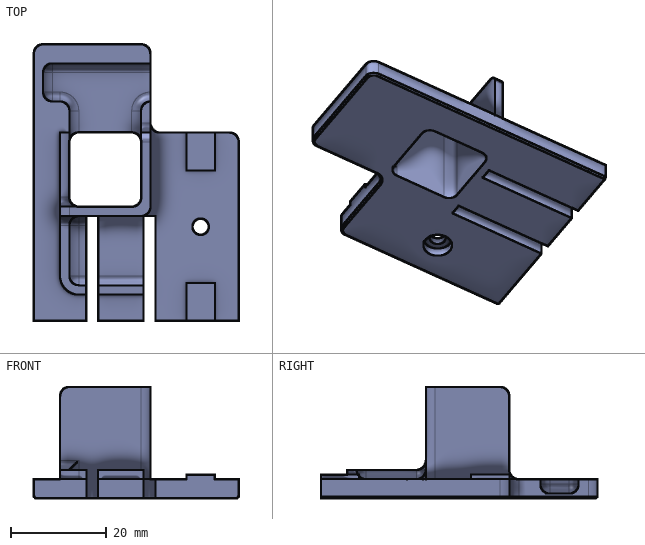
import cadquery as cq
import math

width = 43.0
length = 58.0
height = 23.4

plate = 4.0
wall = 2.0
radius = 2.0
bottom_chamfer = 0.4
arc_half = radius * math.sqrt(0.5)

arm_width = 24.5
shoulder_y = 39.5

window_left = 7.5
window_right = arm_width - wall
wall_front = 22.0
window_front = wall_front + wall
window_back = shoulder_y

rib_left = window_left - wall
rib_front = 5.5
rib_top = plate + radius

slot_width = 2.5
slot_left = 11.0
tongue_width = 9.5
tongue_left = slot_left + slot_width
tongue_right = tongue_left + tongue_width

pocket_floor = 1.0
pocket_left = 2.0
pocket_back = length - 4.0
pocket_front = 46.0

pad_width = 6.0
pad_length = 8.0
pad_height = 1.0
pad_center_x = 35.0
hole_diameter = 3.35
counterbore_diameter = 6.0
counterbore_depth = 2.2


def box(x0, x1, y0, y1, z0, z1):
    return cq.Workplane("XY").box(x1 - x0, y1 - y0, z1 - z0, centered=False).translate((x0, y0, z0))


def foot(x0, x1, y_face, z, side):
    """Concave fillet at the foot of a wall face; side is +1 or -1 along Y."""
    bulge = radius - arc_half
    return (
        cq.Workplane("YZ", origin=(x0, 0, 0))
        .moveTo(y_face, z)
        .lineTo(y_face, z + radius)
        .threePointArc((y_face + side * bulge, z + bulge), (y_face + side * radius, z))
        .close()
        .extrude(x1 - x0)
    )


def base_plate():
    outline = [
        (0, 0),
        (width, 0),
        (width, shoulder_y),
        (arm_width, shoulder_y),
        (arm_width, length),
        (0, length),
    ]
    body = cq.Workplane("XY").polyline(outline).close().extrude(plate)
    body = body.edges("|Z").edges("not(<Y)").fillet(radius)
    return body.faces("<Z").edges("not(<Y)").chamfer(bottom_chamfer)


def front_rib():
    """Solid block with a rounded corner; the recess later hollows it into a rib."""
    block = box(rib_left, tongue_right, rib_front, wall_front, plate, rib_top)
    return block.edges("|Z and <X and <Y").fillet(wall + radius)


def side_rib():
    """Quarter-round rib beside the window, flaring up into the front wall."""
    flare_center_y = window_front + radius
    return (
        cq.Workplane("YZ", origin=(rib_left, 0, plate))
        .moveTo(window_front, 0)
        .lineTo(window_front, 2 * radius)
        .threePointArc((flare_center_y - arc_half, 2 * radius - arc_half), (flare_center_y, radius))
        .lineTo(window_back, radius)
        .lineTo(window_back, 0)
        .close()
        .revolve(90, (window_front, 0, 0), (window_back, 0, 0))
    )


def walls():
    front_wall = box(rib_left, arm_width, wall_front, window_front, plate, height)
    front_wall = front_wall.edges("|Y and <X and >Z").fillet(radius)
    side_wall = box(window_right, arm_width, wall_front, window_back, plate, height)
    side_wall = side_wall.edges("|X and >Y and >Z").fillet(radius)
    corner_left = window_right - radius
    corner_back = window_front + radius
    inner_corner = box(corner_left, window_right, window_front, corner_back, plate, height)
    corner_wall = front_wall.union(side_wall).edges("|Z and >X and <Y").fillet(radius)
    return corner_wall.union(inner_corner)


def wall_feet():
    front_foot = foot(rib_left, window_left + radius, wall_front, rib_top, -1)
    end_foot = foot(window_right, arm_width, window_back, plate, 1)
    return front_foot.union(end_foot)


def pads():
    left = pad_center_x - pad_width / 2
    body = cq.Workplane("XY")
    for front in (0, shoulder_y - pad_length):
        body = body.add(box(left, left + pad_width, front, front + pad_length, plate, plate + pad_height))
    return body.combine()


def pocket():
    """Cutter for the T-shaped pocket that runs into the window and out of the right side."""
    neck_end = window_front + 2 * radius
    beyond = arm_width + radius
    cutter = (
        cq.Workplane("XY", origin=(0, 0, pocket_floor))
        .moveTo(window_left, neck_end)
        .lineTo(window_left, pocket_front)
        .lineTo(pocket_left, pocket_front)
        .lineTo(pocket_left, pocket_back)
        .lineTo(beyond, pocket_back)
        .lineTo(beyond, pocket_front)
        .lineTo(window_right, pocket_front)
        .lineTo(window_right, neck_end)
        .close()
        .extrude(height)
    )
    cutter = cutter.edges("|Z").edges("not(<Y or >X)").fillet(radius)
    return cutter.faces("<Z").edges("not(<Y or >X)").fillet(radius)


def window():
    cutter = box(window_left, window_right, window_front, window_back, 0, height)
    return cutter.edges("|Z").fillet(radius)


def recess():
    """Cutter for the recess inside the rib, flush with the plate and flat across the tongue."""
    rib_inner_y = rib_front + wall
    cutter = box(window_left, tongue_right + slot_width, rib_inner_y, wall_front, plate, height)
    cutter = cutter.edges("|Z and <X").fillet(radius)
    cutter = cutter.faces("<Z").edges("not(>X)").fillet(radius)
    tongue_end = box(tongue_left, tongue_right, wall_front - radius, wall_front, plate, height)
    return cutter.union(tongue_end)


def slots():
    body = cq.Workplane("XY")
    for left in (slot_left, tongue_right):
        body = body.add(box(left, left + slot_width, 0, wall_front, 0, height))
    return body.combine()


def pad_hole():
    """Through hole midway between the pads, counterbored from the underside."""
    center = cq.Workplane("XY").center(pad_center_x, shoulder_y / 2)
    shaft = center.circle(hole_diameter / 2).extrude(plate)
    return shaft.union(center.circle(counterbore_diameter / 2).extrude(counterbore_depth))


result = base_plate()
for addition in (front_rib(), walls(), wall_feet(), pads()):
    result = result.union(addition)
for cutter in (window(), slots(), pad_hole(), pocket(), recess()):
    result = result.cut(cutter)
result = result.union(side_rib())